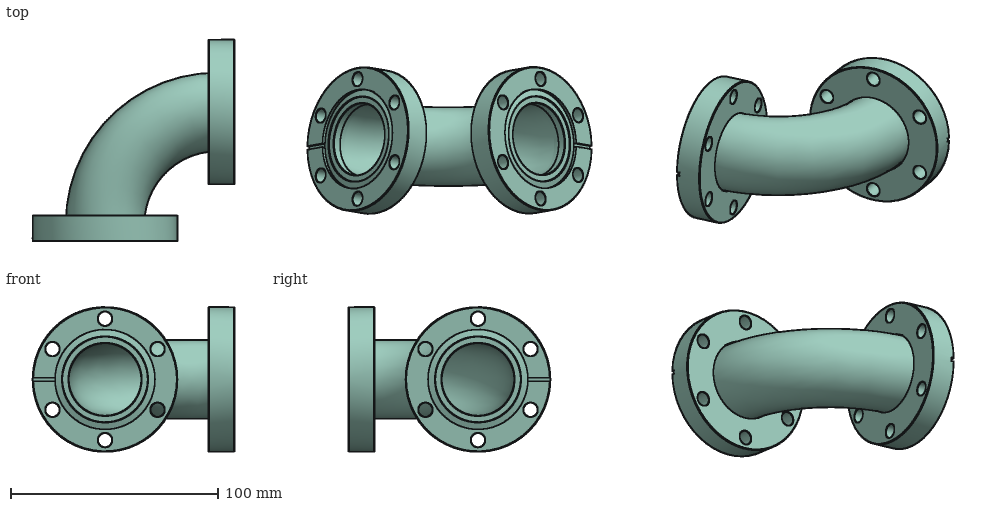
import cadquery as cq
import math

overall_length = 97.5
flange_diameter = 70.0
face_distance = overall_length - flange_diameter / 2

flange_thickness = 12.7
edge_chamfer = 0.4
bore_chamfer = 0.3
seat_diameter = 41.1
tip_diameter = 41.7
recess_diameter = 48.3
recess_depth = 1.7
tip_depth = 0.7
seat_depth = 1.1
shoulder_depth = 5.4

bolt_count = 6
bolt_circle_diameter = 58.6
bolt_hole_diameter = 6.7
bolt_hole_chamfer = 0.2
first_bolt_angle = 90.0
groove_width = 1.8

tube_outer_diameter = 38.1
tube_inner_diameter = 34.9
bend_radius = 54.1
socket_clearance = 0.3


def make_flange_blank():
    """Turned flange: axis along Z, sealing face at z = 0, back face at z = flange_thickness."""
    flange_radius = flange_diameter / 2
    socket_radius = tube_outer_diameter / 2 + socket_clearance
    bore_radius = tube_inner_diameter / 2
    profile = [
        (bore_radius, seat_depth + bore_chamfer),
        (bore_radius + bore_chamfer, seat_depth),
        (seat_diameter / 2, seat_depth),
        (tip_diameter / 2, tip_depth),
        (recess_diameter / 2, recess_depth),
        (recess_diameter / 2, 0),
        (flange_radius - edge_chamfer, 0),
        (flange_radius, edge_chamfer),
        (flange_radius, flange_thickness - edge_chamfer),
        (flange_radius - edge_chamfer, flange_thickness),
        (socket_radius, flange_thickness),
        (socket_radius, shoulder_depth),
        (bore_radius, shoulder_depth),
    ]
    return cq.Workplane("XZ").polyline(profile).close().revolve(360, (0, 0), (0, 1))


def make_bolt_holes():
    """Cutters for the through holes, flared at both ends into chamfers."""
    hole_radius = bolt_hole_diameter / 2
    mouth_radius = hole_radius + bolt_hole_chamfer
    profile = [
        (0, 0),
        (mouth_radius, 0),
        (hole_radius, bolt_hole_chamfer),
        (hole_radius, flange_thickness - bolt_hole_chamfer),
        (mouth_radius, flange_thickness),
        (0, flange_thickness),
    ]
    hole = cq.Workplane("XZ").polyline(profile).close().revolve(360, (0, 0), (0, 1)).val()
    return (
        cq.Workplane("XY")
        .polarArray(bolt_circle_diameter / 2, first_bolt_angle, 360, bolt_count)
        .eachpoint(lambda place: hole.moved(place))
    )


def make_leak_groove():
    """Radial slot on the -X side, as deep as the gasket recess, from the recess out through the rim."""
    groove_start = math.sqrt((recess_diameter / 2) ** 2 - (groove_width / 2) ** 2)
    groove = cq.Workplane("XY").box(
        flange_diameter / 2, groove_width, recess_depth, centered=(False, True, False)
    )
    return groove.translate((-groove_start - flange_diameter / 2, 0, 0))


def make_flange():
    """Flange on the inlet port: axis along Y, sealing face toward -Y."""
    flange = make_flange_blank().cut(make_bolt_holes()).cut(make_leak_groove())
    return flange.rotate((0, 0, 0), (1, 0, 0), -90).translate((0, -face_distance, 0))


def make_tube():
    """Tube with a 90 degree bend and a short straight run into each flange socket."""
    tube_end = face_distance - shoulder_depth
    path = (
        cq.Workplane("XY")
        .moveTo(0, -tube_end)
        .lineTo(0, -bend_radius)
        .radiusArc((bend_radius, 0), bend_radius)
        .lineTo(tube_end, 0)
    )
    return (
        cq.Workplane("XZ", origin=(0, -tube_end, 0))
        .circle(tube_outer_diameter / 2)
        .circle(tube_inner_diameter / 2)
        .sweep(path)
    )


inlet_flange = make_flange()

outlet_flange = (
    make_flange()
    .rotate((0, 0, 0), (0, 1, 0), 180)
    .rotate((0, 0, 0), (0, 0, 1), 90)
)

elbow_tube = make_tube()

result = cq.Compound.makeCompound([inlet_flange.val(), outlet_flange.val(), elbow_tube.val()])